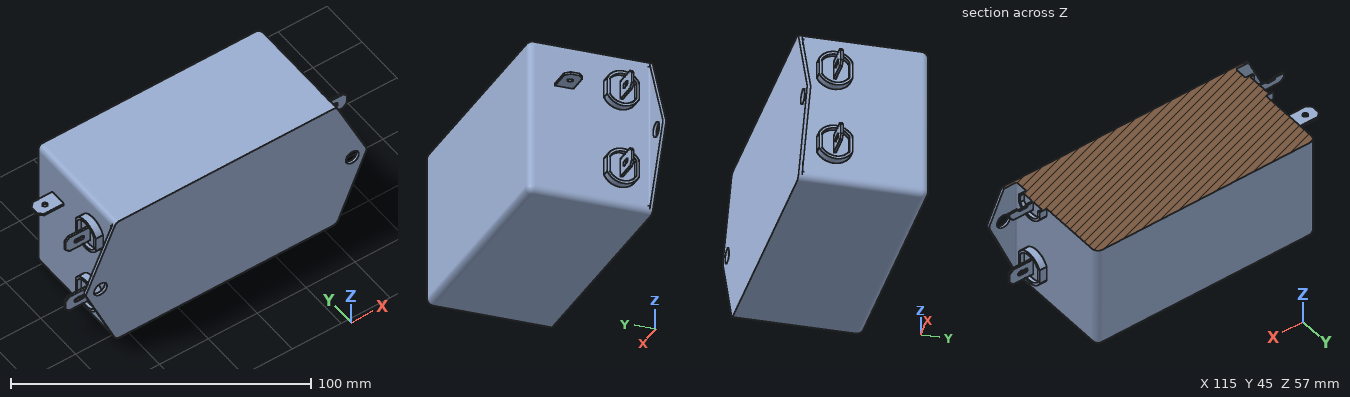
import cadquery as cq

CASE_LENGTH = 92.0
CASE_DEPTH = 45.0
CASE_HEIGHT = 57.0
CORNER_RADIUS = 2.5
CASE_END = CASE_LENGTH / 2

PLATE_THICKNESS = 1.2
PLATE_LENGTH = 114.7
EAR_TIP_Z = 0.5
BEND_RADIUS = 0.6
MOUNT_HOLE_DIAMETER = 5.3
MOUNT_HOLE_SPACING = 103.0

BUSHING_Y = 12.0
BUSHING_SPACING = 29.0
BUSHING_DIAMETER = 13.0
BUSHING_WIDTH = 11.5
BUSHING_HEIGHT = 3.0
BUSHING_RIM = 1.0
DISH_DEPTH = 1.5

TERMINAL_SPAN = 115.0
BLADE_WIDTH = 6.6
BLADE_THICKNESS = 0.8
BLADE_CHAMFER = 1.5
BLADE_SLOT_LENGTH = 4.0
BLADE_SLOT_WIDTH = 1.6
BLADE_SLOT_INSET = 3.6

EARTH_REACH = 9.8
EARTH_Y = 32.0
EARTH_Z = 12.9
EARTH_THICKNESS = 0.8
EARTH_CHAMFER = 1.7
EARTH_HOLE_DIAMETER = 1.9
EARTH_HOLE_INSET = 4.4

EMBED = 1.0


def make_case():
    """Box with rounded edges everywhere except around the mounting face."""
    box = cq.Workplane("XY").box(CASE_LENGTH, CASE_DEPTH, CASE_HEIGHT)
    box = box.translate((0, CASE_DEPTH / 2, 0))
    return box.edges("|Y or >Y").fillet(CORNER_RADIUS)


def plate_blank(thickness):
    """Six-sided plate; its rounded corners follow those of the case."""
    corner_x = CASE_END - CORNER_RADIUS
    corner_z = CASE_HEIGHT / 2 - CORNER_RADIUS
    tip_x = PLATE_LENGTH / 2 - CORNER_RADIUS
    corner_centres = [
        (-tip_x, EAR_TIP_Z),
        (-corner_x, corner_z),
        (corner_x, corner_z),
        (tip_x, EAR_TIP_Z),
        (corner_x, -corner_z),
        (-corner_x, -corner_z),
    ]
    outline = cq.Workplane("XZ").polyline(corner_centres).close().offset2D(CORNER_RADIUS)
    return outline.extrude(-thickness)


def make_plate():
    """Mounting plate with a hole in each ear and a small bend fillet behind it."""
    plate = plate_blank(PLATE_THICKNESS)
    bend_length = CASE_HEIGHT - 2 * CORNER_RADIUS
    bend_top = PLATE_THICKNESS + BEND_RADIUS
    bend = (
        cq.Workplane("XY", origin=(0, 0, -bend_length / 2))
        .moveTo(CASE_END - EMBED, 0)
        .lineTo(CASE_END + BEND_RADIUS, 0)
        .lineTo(CASE_END + BEND_RADIUS, PLATE_THICKNESS)
        .radiusArc((CASE_END, bend_top), BEND_RADIUS)
        .lineTo(CASE_END - EMBED, bend_top)
        .close()
        .extrude(bend_length)
        .intersect(plate_blank(bend_top))
    )
    holes = (
        cq.Workplane("XZ")
        .pushPoints([(-MOUNT_HOLE_SPACING / 2, 0), (MOUNT_HOLE_SPACING / 2, 0)])
        .circle(MOUNT_HOLE_DIAMETER / 2)
        .extrude(-PLATE_THICKNESS)
    )
    return plate.union(bend).union(bend.mirror("YZ")).cut(holes)


def flattened_disc(x_start, height, diameter, width):
    """Disc along +X with two flats that face -Y and +Y, centred on the X axis."""
    disc = cq.Workplane("YZ", origin=(x_start, 0, 0)).circle(diameter / 2).extrude(height)
    flats = cq.Workplane("YZ", origin=(x_start, 0, 0)).rect(width, diameter).extrude(height)
    return disc.intersect(flats)


def tab_blank(x_start, x_tip, thickness, chamfer):
    """Flat tab in the XZ plane along +X, with both outer corners chamfered."""
    length = x_tip - x_start
    tab = cq.Workplane("XY").box(length, thickness, BLADE_WIDTH)
    return tab.edges("|Y and >X").chamfer(chamfer).translate(((x_start + x_tip) / 2, 0, 0))


def make_terminal():
    """Dished bushing and slotted blade on the +X end, centred on the X axis."""
    bushing_face = CASE_END + BUSHING_HEIGHT
    bushing = flattened_disc(CASE_END - EMBED, BUSHING_HEIGHT + EMBED, BUSHING_DIAMETER, BUSHING_WIDTH)
    dish = flattened_disc(
        bushing_face - DISH_DEPTH,
        DISH_DEPTH,
        BUSHING_DIAMETER - 2 * BUSHING_RIM,
        BUSHING_WIDTH - 2 * BUSHING_RIM,
    )
    blade_tip = TERMINAL_SPAN / 2
    blade = tab_blank(CASE_END, blade_tip, BLADE_THICKNESS, BLADE_CHAMFER)
    slot_x = blade_tip - BLADE_SLOT_INSET - BLADE_SLOT_LENGTH / 2
    slot = (
        cq.Workplane("XZ")
        .center(slot_x, 0)
        .slot2D(BLADE_SLOT_LENGTH, BLADE_SLOT_WIDTH)
        .extrude(BLADE_THICKNESS, both=True)
    )
    return bushing.cut(dish).union(blade.cut(slot))


def make_earth_tab():
    """Horizontal tab with a round hole, standing out of the -X end."""
    tip = CASE_END + EARTH_REACH
    tab = tab_blank(CASE_END - EMBED, tip, EARTH_THICKNESS, EARTH_CHAMFER)
    hole = (
        cq.Workplane("XZ")
        .center(tip - EARTH_HOLE_INSET, 0)
        .circle(EARTH_HOLE_DIAMETER / 2)
        .extrude(EARTH_THICKNESS, both=True)
    )
    flat_tab = tab.cut(hole).rotate((0, 0, 0), (1, 0, 0), 90)
    return flat_tab.mirror("YZ").translate((0, EARTH_Y, EARTH_Z))


result = make_case().union(make_plate()).union(make_earth_tab())
for side in (-1, 1):
    terminal = make_terminal().translate((0, BUSHING_Y, side * BUSHING_SPACING / 2))
    result = result.union(terminal).union(terminal.mirror("YZ"))